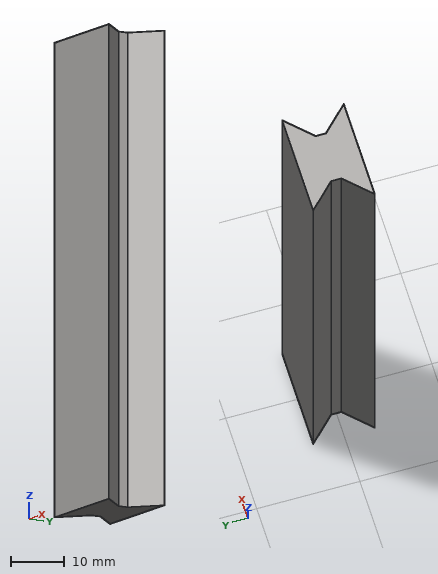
import cadquery as cq

length = 90.0
width = 20.0
thickness = 12.0
waist_width = 10.0

groove_depth = (width - waist_width) / 2
floor_width = thickness - 2 * groove_depth


def side_groove(side):
    """V groove with a flat floor along one X side (side is -1 or +1)."""
    edge_x = side * width / 2
    floor_x = side * waist_width / 2
    outline = [
        (edge_x, thickness / 2),
        (floor_x, floor_width / 2),
        (floor_x, -floor_width / 2),
        (edge_x, -thickness / 2),
    ]
    return cq.Workplane("XY").polyline(outline).close().extrude(length)


result = cq.Workplane("XY").box(width, thickness, length, centered=(True, True, False))
for side in (-1, 1):
    result = result.cut(side_groove(side))